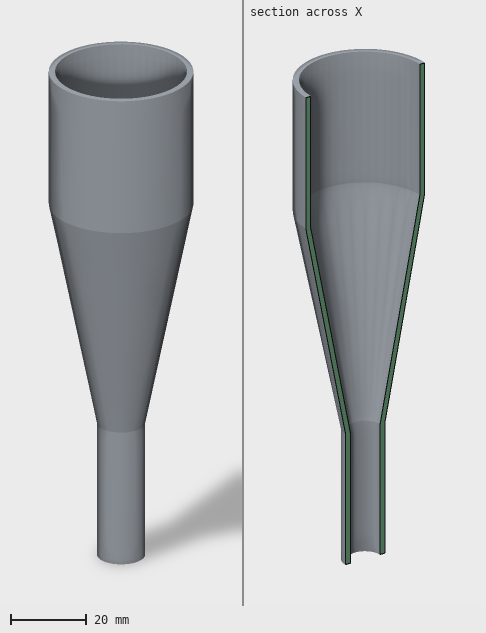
import cadquery as cq

total_height = 139.7
wide_outer_diameter = 38.1
wide_bore_diameter = 34.8
narrow_outer_diameter = 12.7
narrow_bore_diameter = 9.4
end_length = 38.1

cone_bottom = end_length
cone_top = total_height - end_length


def funnel_body(wide_diameter, narrow_diameter):
    """Solid of revolution about Z: narrow stem, cone, then wide cylinder."""
    wide_radius = wide_diameter / 2
    narrow_radius = narrow_diameter / 2
    return (
        cq.Workplane("YZ")
        .moveTo(0, 0)
        .lineTo(narrow_radius, 0)
        .lineTo(narrow_radius, cone_bottom)
        .lineTo(wide_radius, cone_top)
        .lineTo(wide_radius, total_height)
        .lineTo(0, total_height)
        .close()
        .revolve(360, (0, 0), (0, 1))
    )


outer_body = funnel_body(wide_outer_diameter, narrow_outer_diameter)
passage = funnel_body(wide_bore_diameter, narrow_bore_diameter)

result = outer_body.cut(passage)